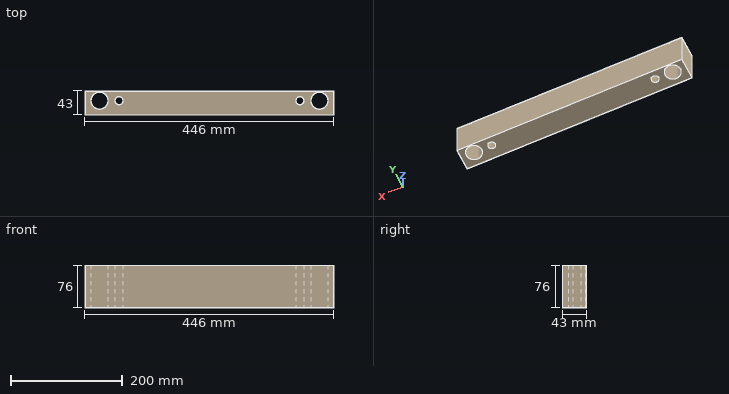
import cadquery as cq

length = 446.0
width = 43.0
height = 76.0

hole_row_from_back = 17.0
large_hole_diameter = 30.0
large_hole_spacing = 394.0
small_hole_diameter = 14.0
small_hole_spacing = 324.0

hole_row_y = width / 2 - hole_row_from_back


def drill_pair(body, diameter, spacing):
    """Drill two through holes placed symmetrically along the hole row."""
    centers = [(-spacing / 2, hole_row_y), (spacing / 2, hole_row_y)]
    return body.faces(">Z").workplane(origin=(0, 0, 0)).pushPoints(centers).hole(diameter)


block = cq.Workplane("XY").box(length, width, height)
block = drill_pair(block, large_hole_diameter, large_hole_spacing)
block = drill_pair(block, small_hole_diameter, small_hole_spacing)

result = block